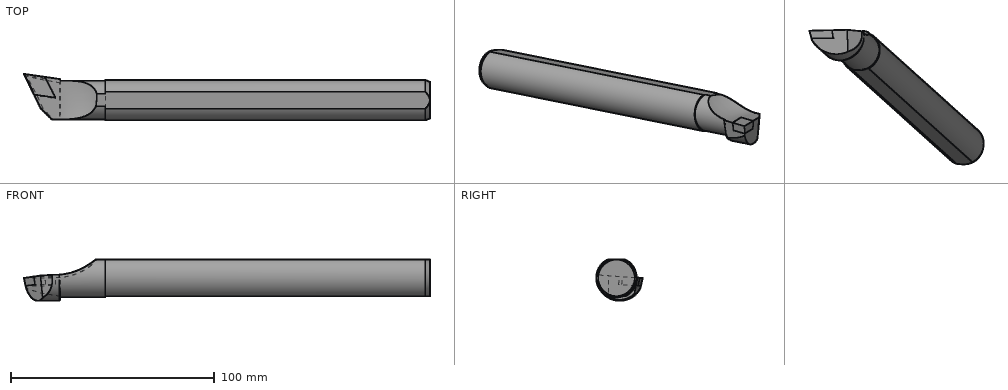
import cadquery as cq
import math

length = 200.0
bar_radius = 10.0
flats_across = 18.2
flat_height = flats_across / 2
neck_radius = 9.5
neck_end = 40.2
end_chamfer_length = 2.5
end_chamfer_depth = 1.0

head_diameter = 22.5
head_radius = head_diameter / 2
tip_y = 13.0
head_center_y = tip_y - head_radius
head_end = 18.0
head_chamfer = 0.5
rake_angle = 4.0
clearance_angle = 7.0
front_corner = (8.2, -4.0)
front_run_out = (20.0, -15.8)
side_edge_drop = 2.5

relief_axis_x = -2.5
relief_floor_radius = 20.5
relief_arc_radius = 24.0

insert_thickness = 4.0
insert_front = (4.8, 2.8)
insert_inner_corner = (15.5, 1.2)
insert_back = (10.5, 11.5)
insert_margin = 4.0


def x_cylinder(radius, start, end, center_y=0.0):
    return cq.Workplane("YZ", origin=(start, center_y, 0)).circle(radius).extrude(end - start)


def on_rake(shape):
    """Tilt a shape modelled with its rake face at Z = 0 about the line through the tip."""
    return shape.rotate((0, tip_y, 0), (1, tip_y, 0), -rake_angle)


def make_shank():
    profile = [
        (neck_end, 0),
        (neck_end, bar_radius),
        (length - end_chamfer_length, bar_radius),
        (length, bar_radius - end_chamfer_depth),
        (length, 0),
    ]
    shank = cq.Workplane("XY").polyline(profile).close().revolve(360, (0, 0, 0), (1, 0, 0))
    flats = cq.Workplane("XY").box(2 * length, 2 * bar_radius, 2 * flat_height)
    return shank.intersect(flats)


def make_relief():
    """Ring-shaped cut with a concave floor that rises toward the shank."""
    arc_x = relief_floor_radius + relief_arc_radius
    bend = relief_arc_radius * math.sqrt(0.5)
    cut = (
        cq.Workplane("XZ")
        .lineTo(relief_floor_radius, 0)
        .threePointArc(
            (relief_floor_radius + bend, relief_arc_radius - bend),
            (arc_x, relief_arc_radius),
        )
        .lineTo(0, relief_arc_radius)
        .close()
        .revolve(360, (0, 0, 0), (0, 1, 0))
    )
    return on_rake(cut.translate((relief_axis_x, 0, 0)))


def make_clearance_envelope():
    """Volume kept by the clearance faces, which lean inward below the rake face."""
    wide = 2 * head_radius
    far_x = 2 * neck_end
    outline = [
        (0, tip_y),
        front_corner,
        front_run_out,
        (front_run_out[0], -wide),
        (far_x, -wide),
        (far_x, wide),
        (head_end, wide),
        (head_end, tip_y - side_edge_drop),
    ]
    below_rake = cq.Workplane("XY").polyline(outline).close().extrude(-wide, taper=clearance_angle)
    above_rake = cq.Workplane("XY").polyline(outline).close().extrude(wide)
    return on_rake(below_rake.union(above_rake))


def make_neck_and_head():
    neck = x_cylinder(neck_radius, 0, neck_end)
    head = x_cylinder(head_radius, 0, head_end, head_center_y).faces(">X").chamfer(head_chamfer)
    flat_plane = cq.Workplane("XY", origin=(0, 0, flat_height))
    above_flat = flat_plane.rect(2 * length, 4 * head_radius).extrude(head_radius)
    blank = neck.union(head).cut(above_flat)
    return blank.intersect(make_clearance_envelope()).cut(make_relief())


def extend(start, end, distance):
    """Point lying the given distance past end on the line from start."""
    ratio = distance / math.dist(start, end)
    return tuple(e + (e - s) * ratio for s, e in zip(start, end))


def make_insert_seat():
    front = extend(insert_inner_corner, insert_front, insert_margin)
    back = extend(insert_inner_corner, insert_back, insert_margin)
    outer = (front[0] - 2 * insert_margin, back[1])
    seat = (
        cq.Workplane("XY")
        .workplane(offset=-insert_thickness)
        .polyline([insert_inner_corner, front, outer, back])
        .close()
        .extrude(2 * insert_thickness)
    )
    return on_rake(seat)


front_end = make_neck_and_head()
seat = make_insert_seat()
insert = front_end.intersect(seat)
holder = make_shank().union(front_end.cut(seat))

result = cq.Compound.makeCompound([holder.val(), insert.val()])